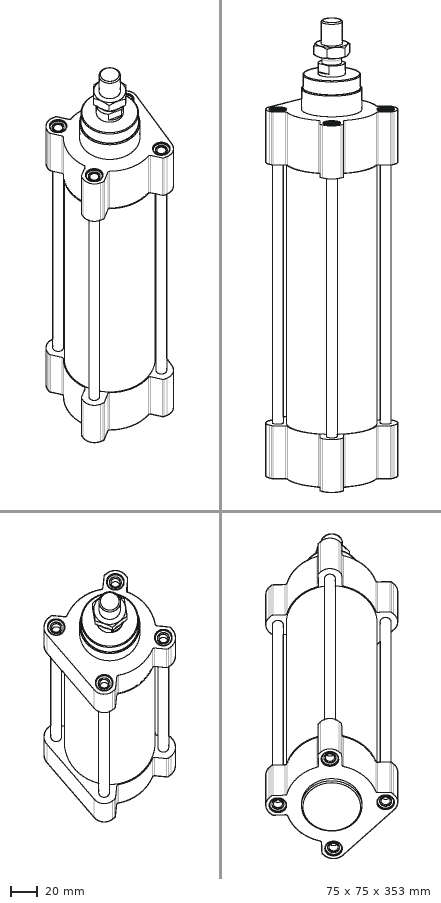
import cadquery as cq
import math

TOTAL_HEIGHT = 353.0
END_CAP_BOTTOM = 4.0
END_CAP_TOP = 44.5
HEAD_CAP_BOTTOM = 244.5
CAP_HEIGHT = END_CAP_TOP - END_CAP_BOTTOM
HEAD_CAP_TOP = HEAD_CAP_BOTTOM + CAP_HEIGHT
COLLAR_SHOULDER = 301.5
COLLAR_TOP = 312.0

CAP_SIDE = 75.0
HALF_SIDE = CAP_SIDE / 2
CAP_ROUND_DIAMETER = 69.0
LUG_CORNER_RADIUS = 9.5
LUG_WIDTH = 17.5
LUG_EDGE_ROUND = 1.8
LUG_ROOT_ROUND = 1.5

TUBE_DIAMETER = 67.5
TIE_ROD_DIAMETER = 8.0
TIE_ROD_SPACING = 56.5
SOCKET_MOUTH_DIAMETER = 13.0
SOCKET_STEP_DIAMETERS = (12.0, 9.0)
SOCKET_STEP_DEPTH = 0.7
SCREW_HOLE_DIAMETER = 6.7
SCREW_HOLE_DEPTH = 9.0
DRILL_TIP_ANGLE = 118.0

COLLAR_DIAMETER = 45.0
NECK_DIAMETER = 42.7
NECK_HOLLOW = 0.18
COLLAR_CHAMFER = 0.7
NECK_CHAMFER = 0.7
END_COLLAR_CHAMFER = 1.0

ROD_DIAMETER = 20.0
ROD_BOTTOM = HEAD_CAP_BOTTOM
ROD_SHOULDER = 320.5
FLATS_BOTTOM = 314.3
FLATS_WIDTH = 17.0
UNDERCUT_DIAMETER = 14.5
THREAD_DIAMETER = 16.0
UNDERCUT_TOP = 323.8
THREAD_BOTTOM = 326.5
THREAD_CHAMFER = 1.0

NUT_SIDES = 6
NUT_BOTTOM = THREAD_BOTTOM
NUT_HEIGHT = 9.0
NUT_ACROSS_FLATS = 24.0
NUT_CHAMFER_DIAMETER = 23.5
NUT_CHAMFER_ANGLE = 30.0


def cylinder(diameter, bottom, top):
    """A round bar about the cylinder axis."""
    return cq.Workplane("XY").workplane(offset=bottom).circle(diameter / 2).extrude(top - bottom)


def prism(length, width, height):
    """A block centred in X and Y that stands on Z = 0."""
    return cq.Workplane("XY").box(length, width, height, centered=(True, True, False))


def round_upright_edges(body, points, radius):
    """Round the vertical edges that pass through the given XY points."""
    for x, y in points:
        edge = cq.selectors.NearestToPointSelector((x, y, CAP_HEIGHT / 2))
        body = body.edges("|Z").edges(edge).fillet(radius)
    return body


def cap():
    """A round cap with four corner lugs, filled to a flat between the two +Y lugs."""
    square = prism(CAP_SIDE, CAP_SIDE, CAP_HEIGHT).edges("|Z").fillet(LUG_CORNER_RADIUS)
    shape = cylinder(CAP_ROUND_DIAMETER, 0, CAP_HEIGHT)
    diagonal = prism(2 * CAP_SIDE, LUG_WIDTH, CAP_HEIGHT)
    for angle in (45, 135):
        shape = shape.union(diagonal.rotate((0, 0, 0), (0, 0, 1), angle))

    lug_edge = HALF_SIDE - LUG_WIDTH / math.sqrt(2)
    root_along = math.sqrt(CAP_ROUND_DIAMETER**2 - LUG_WIDTH**2) / 2
    root_near = (root_along - LUG_WIDTH / 2) / math.sqrt(2)
    root_far = (root_along + LUG_WIDTH / 2) / math.sqrt(2)

    flat_side = prism(2 * lug_edge, HALF_SIDE - lug_edge, CAP_HEIGHT)
    shape = shape.union(flat_side.translate((0, (HALF_SIDE + lug_edge) / 2, 0))).intersect(square)

    edges = [(sx * HALF_SIDE, sy * lug_edge) for sx in (-1, 1) for sy in (-1, 1)]
    edges += [(sx * lug_edge, -HALF_SIDE) for sx in (-1, 1)]
    roots = [(sx * root_far, sy * root_near) for sx in (-1, 1) for sy in (-1, 1)]
    roots += [(sx * root_near, -root_far) for sx in (-1, 1)]
    shape = round_upright_edges(shape, edges, LUG_EDGE_ROUND)
    return round_upright_edges(shape, roots, LUG_ROOT_ROUND)


def tie_rod_points(z):
    """Workplane at height z with a point on each of the four tie rod axes."""
    return cq.Workplane("XY").workplane(offset=z).rarray(TIE_ROD_SPACING, TIE_ROD_SPACING, 2, 2)


def tie_rod_sockets():
    """Stepped blind holes with a drilled tip, to be cut down from Z = 0."""
    mouth_radius = SOCKET_MOUTH_DIAMETER / 2
    profile = cq.Workplane("XZ").moveTo(0, 0).lineTo(mouth_radius, 0)
    depth = mouth_radius - SOCKET_STEP_DIAMETERS[0] / 2
    for diameter in SOCKET_STEP_DIAMETERS:
        profile = profile.lineTo(diameter / 2, -depth)
        depth += SOCKET_STEP_DEPTH
        profile = profile.lineTo(diameter / 2, -depth)
    hole_radius = SCREW_HOLE_DIAMETER / 2
    tip_depth = hole_radius / math.tan(math.radians(DRILL_TIP_ANGLE / 2))
    profile = (
        profile.lineTo(hole_radius, -depth)
        .lineTo(hole_radius, -SCREW_HOLE_DEPTH)
        .lineTo(0, -SCREW_HOLE_DEPTH - tip_depth)
    )
    socket = profile.close().revolve(360, (0, 0, 0), (0, 1, 0)).val()
    return tie_rod_points(0).eachpoint(lambda place: socket.moved(place))


def head_collar():
    """Collar on the head cap: a plain ring below a slightly hollow neck."""
    collar_radius = COLLAR_DIAMETER / 2
    neck_radius = NECK_DIAMETER / 2
    neck_top = COLLAR_TOP - NECK_CHAMFER
    neck_middle = (COLLAR_SHOULDER + neck_top) / 2
    return (
        cq.Workplane("XZ")
        .moveTo(0, HEAD_CAP_TOP)
        .lineTo(collar_radius, HEAD_CAP_TOP)
        .lineTo(collar_radius, COLLAR_SHOULDER - COLLAR_CHAMFER)
        .lineTo(collar_radius - COLLAR_CHAMFER, COLLAR_SHOULDER)
        .lineTo(neck_radius, COLLAR_SHOULDER)
        .threePointArc((neck_radius - NECK_HOLLOW, neck_middle), (neck_radius, neck_top))
        .lineTo(neck_radius - NECK_CHAMFER, COLLAR_TOP)
        .lineTo(0, COLLAR_TOP)
        .close()
        .revolve(360, (0, 0, 0), (0, 1, 0))
    )


def make_housing():
    """Tube, both caps, collars and tie rods, bored for the piston rod."""
    sockets = tie_rod_sockets()
    end_sockets = sockets.rotate((0, 0, 0), (1, 0, 0), 180)
    end_collar = cylinder(COLLAR_DIAMETER, 0, END_CAP_BOTTOM).faces("<Z").chamfer(END_COLLAR_CHAMFER)
    tie_rods = tie_rod_points(END_CAP_TOP).circle(TIE_ROD_DIAMETER / 2).extrude(HEAD_CAP_BOTTOM - END_CAP_TOP)
    return (
        cylinder(TUBE_DIAMETER, END_CAP_TOP, HEAD_CAP_BOTTOM)
        .union(cap().translate((0, 0, END_CAP_BOTTOM)))
        .union(cap().translate((0, 0, HEAD_CAP_BOTTOM)))
        .union(tie_rods)
        .union(end_collar)
        .union(head_collar())
        .cut(sockets.translate((0, 0, HEAD_CAP_TOP)))
        .cut(end_sockets.translate((0, 0, END_CAP_BOTTOM)))
        .cut(cylinder(ROD_DIAMETER, ROD_BOTTOM, COLLAR_TOP))
    )


def make_piston_rod():
    """Rod with two wrench flats, an undercut and a threaded end."""
    flats_height = ROD_SHOULDER - FLATS_BOTTOM
    flats_limits = prism(FLATS_WIDTH, ROD_DIAMETER, flats_height).translate((0, 0, FLATS_BOTTOM))
    thread = cylinder(THREAD_DIAMETER, THREAD_BOTTOM, TOTAL_HEIGHT).faces(">Z").chamfer(THREAD_CHAMFER)
    thread_run_out = (
        cq.Workplane("XY")
        .workplane(offset=UNDERCUT_TOP)
        .circle(UNDERCUT_DIAMETER / 2)
        .workplane(offset=THREAD_BOTTOM - UNDERCUT_TOP)
        .circle(THREAD_DIAMETER / 2)
        .loft(ruled=True)
    )
    return (
        cylinder(ROD_DIAMETER, ROD_BOTTOM, FLATS_BOTTOM)
        .union(cylinder(ROD_DIAMETER, FLATS_BOTTOM, ROD_SHOULDER).intersect(flats_limits))
        .union(cylinder(UNDERCUT_DIAMETER, ROD_SHOULDER, UNDERCUT_TOP))
        .union(thread_run_out)
        .union(thread)
    )


def make_lock_nut():
    """Hexagon nut with corners along Y, its corners chamfered at both ends."""
    corner_diameter = NUT_ACROSS_FLATS / math.cos(math.pi / NUT_SIDES)
    chamfer_width = (corner_diameter - NUT_CHAMFER_DIAMETER) / 2
    chamfer_height = chamfer_width * math.tan(math.radians(NUT_CHAMFER_ANGLE))
    chamfered_blank = cylinder(corner_diameter, 0, NUT_HEIGHT).faces("<Z or >Z").chamfer(
        chamfer_height, chamfer_width
    )
    return (
        cq.Workplane("XY")
        .polygon(NUT_SIDES, corner_diameter)
        .extrude(NUT_HEIGHT)
        .rotate((0, 0, 0), (0, 0, 1), 90)
        .intersect(chamfered_blank)
        .cut(cylinder(THREAD_DIAMETER, 0, NUT_HEIGHT))
        .translate((0, 0, NUT_BOTTOM))
    )


housing = make_housing()
piston_rod = make_piston_rod()
lock_nut = make_lock_nut()

result = cq.Compound.makeCompound([housing.val(), piston_rod.val(), lock_nut.val()])